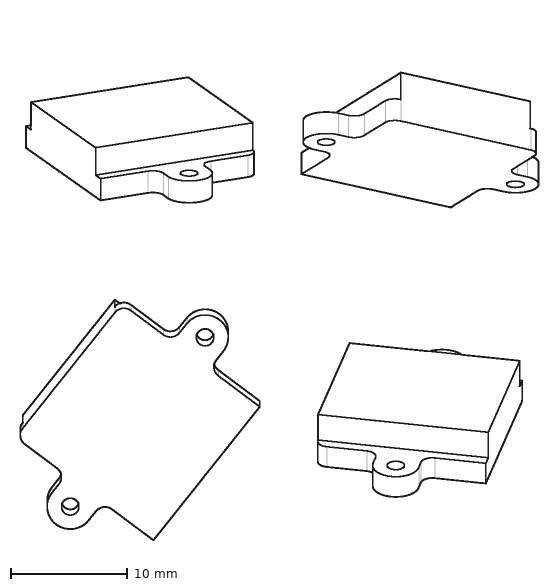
import cadquery as cq

overall_length = 23.0
body_size = 15.0
total_height = 4.5
base_height = 2.0
block_width = 13.0
ear_radius = 2.0
hole_diameter = 1.5
corner_radius = 1.0

ear_center_x = overall_length / 2 - ear_radius
body_half = body_size / 2


def make_base():
    """Square plate with two round-ended ears, blended into its sides."""
    plate = cq.Workplane("XY").rect(body_size, body_size).extrude(base_height)
    ears = cq.Workplane("XY").slot2D(overall_length, 2 * ear_radius).extrude(base_height)
    base = plate.union(ears)

    rounded_corners = [(side * body_half, y) for side in (-1, 1) for y in (-ear_radius, ear_radius, body_half)]
    for x, y in rounded_corners:
        corner_edge = cq.selectors.NearestToPointSelector((x, y, base_height / 2))
        base = base.edges("|Z").edges(corner_edge).fillet(corner_radius)
    return base


def make_block():
    """Raised block running the full depth of the plate."""
    return cq.Workplane("XY").rect(block_width, body_size).extrude(total_height)


def make_holes():
    """Through holes at the ear centers."""
    ear_centers = [(-ear_center_x, 0), (ear_center_x, 0)]
    return cq.Workplane("XY").pushPoints(ear_centers).circle(hole_diameter / 2).extrude(base_height)


result = make_base().union(make_block()).cut(make_holes())